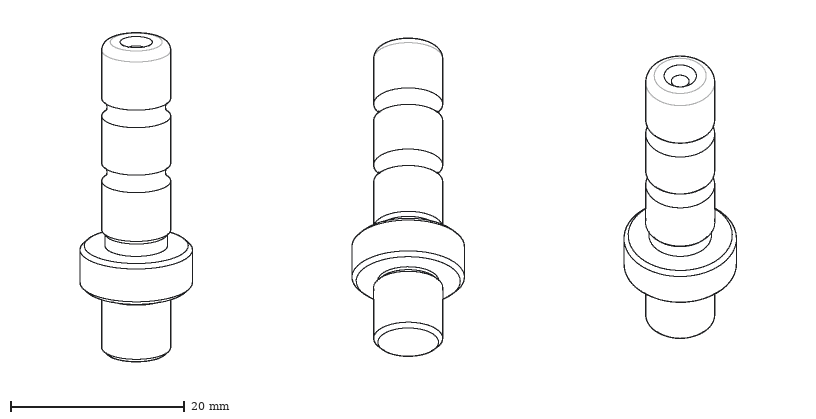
import cadquery as cq

length = 38.0
shaft_radius = 4.0
top_round = 1.0
edge_chamfer = 0.5

collar_radius = 6.5
collar_bottom = 7.98
collar_height = 5.0
collar_top = collar_bottom + collar_height
upper_neck_radius = 3.6
upper_neck_height = 1.52
upper_neck_chamfer_height = 0.45
lower_neck_radius = 3.55
lower_neck_height = 0.38
lower_neck_chamfer_height = 0.45

groove_depth = 0.6
groove_arc_radius = 1.25
groove_top_distance = 7.98
groove_pitch = 7.98
groove_count = 2

countersink_radius = 1.85
hole_radius = 1.03
countersink_depth = countersink_radius - hole_radius
hole_depth = 5.7
drill_tip_height = 0.6


def revolve_profile(points):
    """Revolve a closed (radius, height) outline about the Z axis."""
    return cq.Workplane("XZ").polyline(points).close().revolve(360, (0, 0, 0), (0, 1, 0))


def make_body():
    """Stepped shaft with collar, necks and edge chamfers."""
    upper_neck_top = collar_top + upper_neck_height
    lower_neck_bottom = collar_bottom - lower_neck_height
    body = revolve_profile([
        (0, 0),
        (shaft_radius - edge_chamfer, 0),
        (shaft_radius, edge_chamfer),
        (shaft_radius, lower_neck_bottom - lower_neck_chamfer_height),
        (lower_neck_radius, lower_neck_bottom),
        (lower_neck_radius, collar_bottom),
        (collar_radius - edge_chamfer, collar_bottom),
        (collar_radius, collar_bottom + edge_chamfer),
        (collar_radius, collar_top - edge_chamfer),
        (collar_radius - edge_chamfer, collar_top),
        (upper_neck_radius, collar_top),
        (upper_neck_radius, upper_neck_top),
        (shaft_radius, upper_neck_top + upper_neck_chamfer_height),
        (shaft_radius, length),
        (0, length),
    ])
    return body.faces(">Z").edges().fillet(top_round)


def make_groove(height):
    """Ring with a circular section that cuts one groove centered at the given height."""
    section_center = shaft_radius - groove_depth + groove_arc_radius
    section = cq.Workplane("XZ").center(section_center, height).circle(groove_arc_radius)
    return section.revolve(360, (-section_center, 0, 0), (-section_center, 1, 0))


def make_center_hole():
    """Countersunk blind hole with a conical drill tip."""
    hole_bottom = length - hole_depth
    return revolve_profile([
        (0, length),
        (countersink_radius, length),
        (hole_radius, length - countersink_depth),
        (hole_radius, hole_bottom),
        (0, hole_bottom - drill_tip_height),
    ])


result = make_body()
for index in range(groove_count):
    groove_height = length - groove_top_distance - index * groove_pitch
    result = result.cut(make_groove(groove_height))
result = result.cut(make_center_hole())